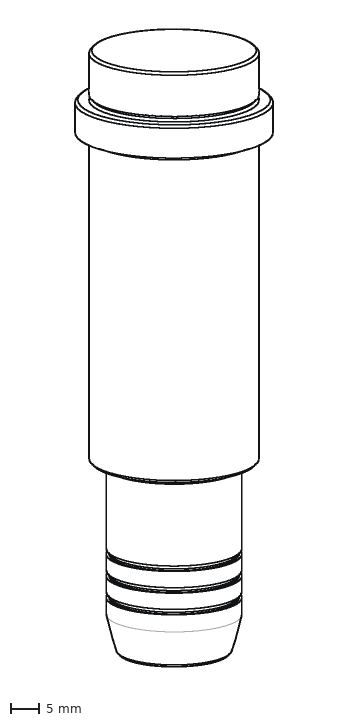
import cadquery as cq

length = 110.0
collar_top = length - 9.0
collar_bottom = length - 15.0
body_bottom = length - 75.0
taper_top = length - 103.0

body_diameter = 30.0
body_radius = body_diameter / 2
collar_radius = 17.5
tail_radius = 12.0
tip_radius = 10.2

chamfer = 0.5
relief_depth = 0.5
relief_width = 1.0
taper_bulge = 0.1

groove_depth = 0.5
groove_width = 1.0
groove_floor_width = 0.3
groove_pitch = 4.0
groove_count = 3
first_groove_top = length - 91.0

body_relief_radius = body_radius - relief_depth
tail_relief_radius = tail_radius - relief_depth


def add_head(profile):
    """Chamfered head with an undercut that flares out onto the collar."""
    return (
        profile.lineTo(body_radius - chamfer, length)
        .lineTo(body_radius, length - chamfer)
        .lineTo(body_radius, collar_top + relief_width)
        .lineTo(body_relief_radius, collar_top + relief_width)
        .lineTo(body_relief_radius, collar_top + chamfer)
        .lineTo(body_radius, collar_top)
    )


def add_collar_and_body(profile):
    """Collar, undercut below it, and the long chamfered body."""
    return (
        profile.lineTo(collar_radius - chamfer, collar_top)
        .lineTo(collar_radius, collar_top - chamfer)
        .lineTo(collar_radius, collar_bottom)
        .lineTo(body_relief_radius, collar_bottom)
        .lineTo(body_relief_radius, collar_bottom - relief_width + chamfer)
        .lineTo(body_radius, collar_bottom - relief_width)
        .lineTo(body_radius, body_bottom + chamfer)
        .lineTo(body_radius - chamfer, body_bottom)
    )


def add_groove(profile, top):
    """Ring groove with a sloped upper wall, a narrow floor and a square lower wall."""
    groove_radius = tail_radius - groove_depth
    return (
        profile.lineTo(tail_radius, top)
        .lineTo(groove_radius, top - groove_width + groove_floor_width)
        .lineTo(groove_radius, top - groove_width)
        .lineTo(tail_radius, top - groove_width)
    )


def add_tail(profile):
    """Relieved tail with ring grooves and a slightly bulged, chamfered tip."""
    profile = (
        profile.lineTo(tail_relief_radius, body_bottom)
        .lineTo(tail_relief_radius, body_bottom - relief_width)
        .lineTo(tail_radius, body_bottom - relief_width)
    )
    for index in range(groove_count):
        profile = add_groove(profile, first_groove_top - index * groove_pitch)
    return (
        profile.lineTo(tail_radius, taper_top)
        .threePointArc(
            ((tail_radius + tip_radius) / 2 + taper_bulge, (taper_top + chamfer) / 2),
            (tip_radius, chamfer),
        )
        .lineTo(tip_radius - chamfer, 0)
        .lineTo(0, 0)
    )


outline = cq.Workplane("XZ").moveTo(0, length)
outline = add_head(outline)
outline = add_collar_and_body(outline)
outline = add_tail(outline)
result = outline.close().revolve(360, (0, 0, 0), (0, 1, 0))